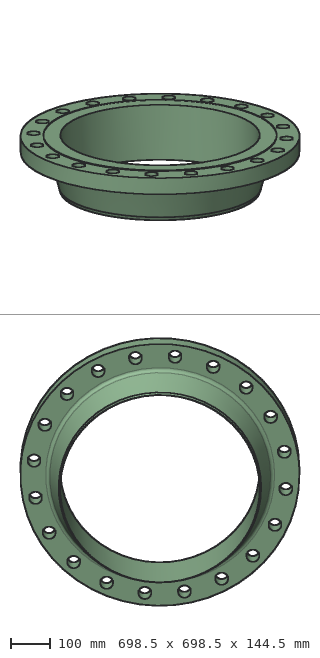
import cadquery as cq

flange_diameter = 698.5
total_height = 144.5

raised_face_diameter = 584.0
raised_face_height = 2.0
flange_thickness = 42.5

hub_top_diameter = 557.0
neck_diameter = 507.0
neck_height = 2.0
weld_end_diameter = 501.0
weld_bevel_height = 9.0
root_fillet_radius = 10.5
bore_diameter = 499.0

bolt_count = 20
bolt_circle_diameter = 634.0
bolt_hole_diameter = 32.0

flange_top = total_height - raised_face_height
flange_bottom = flange_top - flange_thickness


def make_body():
    """Revolve the half section about Z, with the weld end at Z = 0."""
    profile = [
        (bore_diameter / 2, 0),
        (weld_end_diameter / 2, 0),
        (neck_diameter / 2, weld_bevel_height),
        (neck_diameter / 2, weld_bevel_height + neck_height),
        (hub_top_diameter / 2, flange_bottom),
        (flange_diameter / 2, flange_bottom),
        (flange_diameter / 2, flange_top),
        (raised_face_diameter / 2, flange_top),
        (raised_face_diameter / 2, total_height),
        (bore_diameter / 2, total_height),
    ]
    body = cq.Workplane("XZ").polyline(profile).close().revolve(360, (0, 0, 0), (0, 1, 0))
    underside = body.faces(cq.selectors.NearestToPointSelector((0, 0, flange_bottom)))
    hub_root = underside.edges("%CIRCLE").edges(cq.selectors.RadiusNthSelector(0))
    return hub_root.fillet(root_fillet_radius)


def make_bolt_holes():
    """Cylinders that pass through the whole flange plate."""
    return (
        cq.Workplane("XY")
        .workplane(offset=flange_bottom)
        .polarArray(bolt_circle_diameter / 2, 0, 360, bolt_count)
        .circle(bolt_hole_diameter / 2)
        .extrude(flange_thickness)
    )


result = make_body().cut(make_bolt_holes())